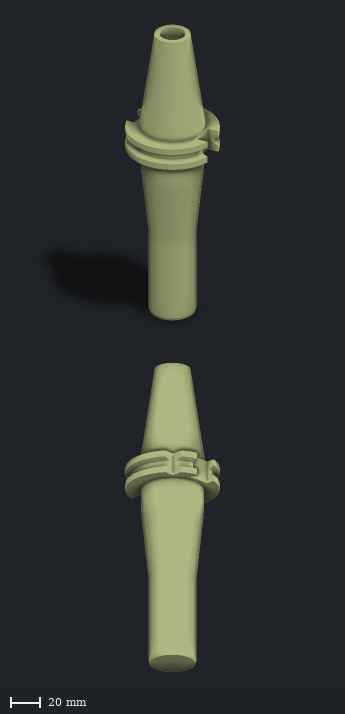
import cadquery as cq
import math

total_length = 213.2
taper_length = 68.5
gauge_diameter = 44.4
taper_ratio = 7 / 24
gauge_height = total_length - taper_length
taper_top_radius = (gauge_diameter - taper_length * taper_ratio) / 2

relief_diameter = 44.0
relief_top = 144.0
relief_bottom = 142.2
relief_depth = (gauge_diameter - relief_diameter) / 2

flange_diameter = 63.5
flange_top = 141.8
flange_thickness = 15.8
flange_bottom = flange_top - flange_thickness
groove_floor_diameter = 56.5
groove_center = flange_top - 7.9
groove_mouth_half = 3.6
groove_floor_half = 2.0

slot_width = 16.0
left_slot_floor = 24.7
right_slot_floor = 22.5
notch_x = 18.3
notch_y = 18.3

body_diameter = 42.0
shank_diameter = 32.0
body_cylinder_bottom = 110.9
shank_top = 57.5
blend_height = 5.1
cone_top = body_cylinder_bottom - blend_height
cone_bottom = shank_top + blend_height
cone_slope = (body_diameter - shank_diameter) / 2 / (cone_top - shank_top)
blend_rise = cone_slope * blend_height / 2
end_chamfer_height = 2.0
end_chamfer_width = 0.6

bore_diameter = 17.5
bore_depth = 6.6
seat_diameter = 17.0
seat_depth = 8.5
pilot_diameter = 14.0
pilot_depth = 29.9
drill_point_angle = 118.0


def make_body():
    """Revolve the outer profile from the shank end up to the taper end."""
    shank_radius = shank_diameter / 2
    body_radius = body_diameter / 2
    flange_radius = flange_diameter / 2
    groove_radius = groove_floor_diameter / 2
    relief_radius = relief_diameter / 2
    gauge_radius = gauge_diameter / 2
    return (
        cq.Workplane("XZ")
        .moveTo(0, 0)
        .lineTo(shank_radius - end_chamfer_width, 0)
        .lineTo(shank_radius, end_chamfer_height)
        .lineTo(shank_radius, shank_top)
        .tangentArcPoint((shank_radius + blend_rise, cone_bottom), relative=False)
        .lineTo(body_radius - blend_rise, cone_top)
        .tangentArcPoint((body_radius, body_cylinder_bottom), relative=False)
        .lineTo(body_radius, flange_bottom)
        .lineTo(flange_radius, flange_bottom)
        .lineTo(flange_radius, groove_center - groove_mouth_half)
        .lineTo(groove_radius, groove_center - groove_floor_half)
        .lineTo(groove_radius, groove_center + groove_floor_half)
        .lineTo(flange_radius, groove_center + groove_mouth_half)
        .lineTo(flange_radius, flange_top)
        .lineTo(gauge_radius, flange_top)
        .lineTo(gauge_radius, relief_bottom)
        .lineTo(relief_radius, relief_bottom + relief_depth)
        .lineTo(relief_radius, relief_top - relief_depth)
        .lineTo(gauge_radius, relief_top)
        .lineTo(gauge_radius, gauge_height)
        .lineTo(taper_top_radius, total_length)
        .lineTo(0, total_length)
        .close()
        .revolve(360, (0, 0), (0, 1))
    )


def flange_cutter(x_start, x_end, y_start, y_end):
    """Box through the full flange thickness."""
    return cq.Workplane("XY").box(
        x_end - x_start, y_end - y_start, flange_thickness, centered=False
    ).translate((x_start, y_start, flange_bottom))


def make_bore():
    """Counterbored blind hole with a conical drill point."""
    bore_radius = bore_diameter / 2
    seat_radius = seat_diameter / 2
    pilot_radius = pilot_diameter / 2
    point_depth = pilot_radius / math.tan(math.radians(drill_point_angle / 2))
    return (
        cq.Workplane("XZ")
        .moveTo(0, total_length)
        .lineTo(bore_radius, total_length)
        .lineTo(bore_radius, total_length - bore_depth)
        .lineTo(seat_radius, total_length - bore_depth)
        .lineTo(seat_radius, total_length - seat_depth)
        .lineTo(pilot_radius, total_length - seat_depth)
        .lineTo(pilot_radius, total_length - pilot_depth)
        .lineTo(0, total_length - pilot_depth - point_depth)
        .close()
        .revolve(360, (0, 0), (0, 1))
    )


slot_half = slot_width / 2
left_slot = flange_cutter(-flange_diameter, -left_slot_floor, -slot_half, slot_half)
right_slot = flange_cutter(right_slot_floor, flange_diameter, -slot_half, slot_half)
corner_notch = flange_cutter(-flange_diameter, -notch_x, notch_y, flange_diameter)

result = make_body().cut(left_slot).cut(right_slot).cut(corner_notch).cut(make_bore())